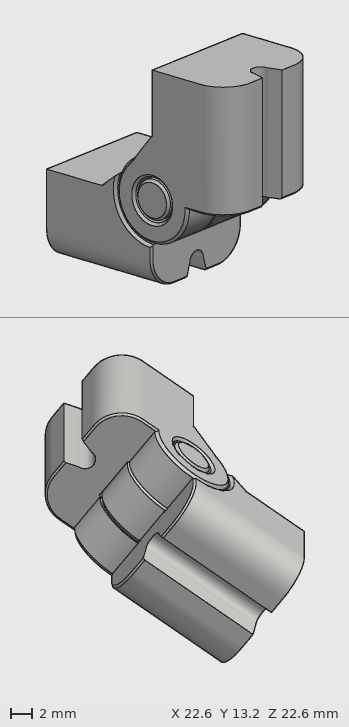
import cadquery as cq
import math


width = 13.2
leaf_length = 13.2
leaf_thickness = 9.35
corner_radius = 3.35
heel_clearance = 0.1
heel_chamfer = 0.2
upper_ramp_start = 6.55
lower_ramp_start = 6.3
upper_ramp_angle = 38.4
lower_ramp_angle = 39.3

groove_radius = 1.0
groove_depth = 2.44
groove_mouth = 2.89

knuckle_radius = 4.4
recess_radius = 4.55
knuckle_chamfer = 0.3
center_half_length = 2.3
axial_gap = 0.3

pin_radius = 4.1 / 2
hole_radius = 4.55 / 2
pin_chamfer = 0.27

half_width = width / 2
shoulder = center_half_length - knuckle_chamfer
face_gap = axial_gap * math.cos(math.pi / 4)


def turned(points):
    """Solid of revolution about the Y axis from (radius, y) points."""
    return cq.Workplane("XY").polyline(points).close().revolve(360, (0, 0), (0, 1))


def both_ends(body):
    return body.union(body.mirror("XZ"))


def groove():
    center_x = leaf_thickness - groove_depth + groove_radius
    return (
        cq.Workplane("XY")
        .moveTo(leaf_thickness, -groove_mouth / 2)
        .lineTo(center_x, -groove_radius)
        .threePointArc((center_x - groove_radius, 0), (center_x, groove_radius))
        .lineTo(leaf_thickness, groove_mouth / 2)
        .close()
        .extrude(leaf_length)
    )


def leaf_block(ramp_start, ramp_angle):
    """Leaf standing along +Z with its inner face on X = 0, ramp included, no knuckles."""
    block = (
        cq.Workplane("XY")
        .box(leaf_thickness, width, leaf_length - heel_clearance, centered=(False, True, False))
        .translate((0, 0, heel_clearance))
        .edges("|Z and >X")
        .fillet(corner_radius)
        .faces("<Z")
        .edges("not(<X)")
        .chamfer(heel_chamfer)
    )
    angle = math.radians(ramp_angle)
    ramp_run = ramp_start * math.cos(angle)
    ramp_end = (-ramp_run * math.sin(angle), ramp_start - ramp_run * math.cos(angle))
    ramp = (
        cq.Workplane("XZ")
        .polyline([(0, 0), (0, ramp_start), ramp_end])
        .close()
        .extrude(half_width, both=True)
    )
    return block.union(ramp).cut(groove())


def center_knuckle():
    """Plain cylinder; the side recesses bevel its ends."""
    return cq.Workplane("XZ").circle(knuckle_radius).extrude(center_half_length, both=True)


def center_recess():
    """Space around the middle knuckle, to be cut from the upper leaf."""
    end = center_half_length + face_gap
    cone_sum = knuckle_radius + shoulder + axial_gap
    half = turned([
        (0, 0),
        (recess_radius, 0),
        (recess_radius, cone_sum - recess_radius),
        (cone_sum - end, end),
        (0, end),
    ])
    return both_ends(half)


def side_knuckles():
    knuckle = turned([
        (0, 0),
        (knuckle_radius, 0),
        (knuckle_radius, half_width - knuckle_chamfer),
        (knuckle_radius - knuckle_chamfer, half_width),
        (0, half_width),
    ])
    return both_ends(knuckle)


def side_recesses():
    """Spaces around the side knuckles, to be cut from the lower leaf."""
    cone_sum = knuckle_radius + shoulder
    recess = turned([
        (0, center_half_length),
        (knuckle_radius - knuckle_chamfer, center_half_length),
        (recess_radius, cone_sum - recess_radius),
        (recess_radius, half_width - knuckle_chamfer),
        (recess_radius + knuckle_chamfer, half_width),
        (0, half_width),
    ])
    return both_ends(recess)


def pin(radius, end_radius):
    half = turned([
        (0, 0),
        (radius, 0),
        (radius, half_width - pin_chamfer),
        (end_radius, half_width),
        (0, half_width),
    ])
    return both_ends(half)


def make_upper_leaf():
    pin_hole = pin(hole_radius, hole_radius + pin_chamfer)
    block = leaf_block(upper_ramp_start, upper_ramp_angle)
    return block.union(side_knuckles()).cut(center_recess()).cut(pin_hole)


def make_lower_leaf():
    block = leaf_block(lower_ramp_start, lower_ramp_angle).rotate((0, 0, 0), (1, 0, -1), 180)
    hinge_pin = pin(pin_radius, pin_radius - pin_chamfer)
    return block.union(center_knuckle()).cut(side_recesses()).union(hinge_pin)


upper_leaf = make_upper_leaf()
lower_leaf = make_lower_leaf()

result = cq.Compound.makeCompound([upper_leaf.val(), lower_leaf.val()])